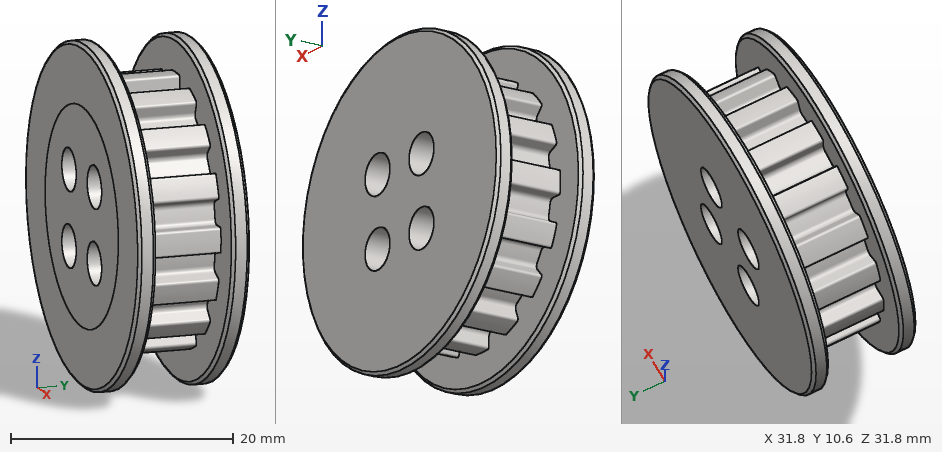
import cadquery as cq
import math

PULLEY_WIDTH = 10.6
FLANGE_DIAMETER = 31.75
FLANGE_THICKNESS = 1.7
FLANGE_CHAMFER = 0.3

TOOTH_COUNT = 16
TOOTH_TIP_DIAMETER = 25.36
TOOTH_ROOT_DIAMETER = 22.26
TOOTH_WIDTH = 2.36
TOOTH_TIP_FILLET = 0.25
TOOTH_ROOT_FILLET = 0.5

CAP_DIAMETER = 20.4
CAP_THICKNESS = 2.1

HOLE_DIAMETER = 4.0
HOLE_SPACING = 7.07

EDGE_TOLERANCE = 0.01

FRONT_Y = -PULLEY_WIDTH / 2
BELT_FRONT_Y = FRONT_Y + FLANGE_THICKNESS
BELT_WIDTH = PULLEY_WIDTH - 2 * FLANGE_THICKNESS
REAR_FLANGE_Y = BELT_FRONT_Y + BELT_WIDTH


def sketch_at(y):
    """Sketch plane facing +Y at the given Y, with its local x toward -X and local y toward +Z."""
    return cq.Workplane(cq.Plane(origin=(0, y, 0), xDir=(-1, 0, 0), normal=(0, 1, 0)))


def disc(y, diameter, thickness):
    """Disc on the pulley axis, growing from the given Y toward +Y."""
    return sketch_at(y).circle(diameter / 2).extrude(thickness)


def make_flange(y):
    """Flange disc with both rims chamfered."""
    return disc(y, FLANGE_DIAMETER, FLANGE_THICKNESS).faces("|Y").edges().chamfer(FLANGE_CHAMFER)


def make_tooth():
    """One parallel-sided tooth pointing toward -X, with a round tip and filleted tip edges."""
    tip_radius = TOOTH_TIP_DIAMETER / 2
    half_width = TOOTH_WIDTH / 2
    tip_corner = math.sqrt(tip_radius**2 - half_width**2)
    foot = TOOTH_ROOT_DIAMETER / 2 - TOOTH_WIDTH
    tooth = (
        sketch_at(BELT_FRONT_Y)
        .moveTo(foot, -half_width)
        .lineTo(tip_corner, -half_width)
        .threePointArc((tip_radius, 0), (tip_corner, half_width))
        .lineTo(foot, half_width)
        .close()
        .extrude(BELT_WIDTH)
    )
    return tooth.edges("|Y").edges("<X").fillet(TOOTH_TIP_FILLET)


def is_root_corner(edge):
    """True for an edge along Y that lies on the root circle, where a tooth flank meets it."""
    centre = edge.Center()
    axis_distance = math.hypot(centre.x, centre.z)
    return math.isclose(axis_distance, TOOTH_ROOT_DIAMETER / 2, abs_tol=EDGE_TOLERANCE)


def make_belt_section():
    """Root cylinder carrying all the teeth, with a fillet at each tooth root."""
    belt_section = disc(BELT_FRONT_Y, TOOTH_ROOT_DIAMETER, BELT_WIDTH)
    tooth = make_tooth()
    for index in range(TOOTH_COUNT):
        angle = index * 360 / TOOTH_COUNT
        belt_section = belt_section.union(tooth.rotate((0, 0, 0), (0, 1, 0), angle))
    return belt_section.edges("|Y").filter(is_root_corner).fillet(TOOTH_ROOT_FILLET)


def make_hole_cutters():
    """Four pins that cut the through holes in both bodies."""
    return (
        sketch_at(FRONT_Y)
        .rarray(HOLE_SPACING, HOLE_SPACING, 2, 2)
        .circle(HOLE_DIAMETER / 2)
        .extrude(PULLEY_WIDTH)
    )


def make_pulley():
    """Toothed wheel with its two flanges and the front recess for the cap."""
    pulley = make_belt_section().union(make_flange(FRONT_Y)).union(make_flange(REAR_FLANGE_Y))
    recess = disc(FRONT_Y, CAP_DIAMETER, CAP_THICKNESS)
    return pulley.cut(recess).cut(make_hole_cutters())


def make_cap():
    """Disc that fills the front recess, flush with the front flange face."""
    return disc(FRONT_Y, CAP_DIAMETER, CAP_THICKNESS).cut(make_hole_cutters())


pulley = make_pulley()
cap = make_cap()

result = cq.Compound.makeCompound([pulley.val(), cap.val()])